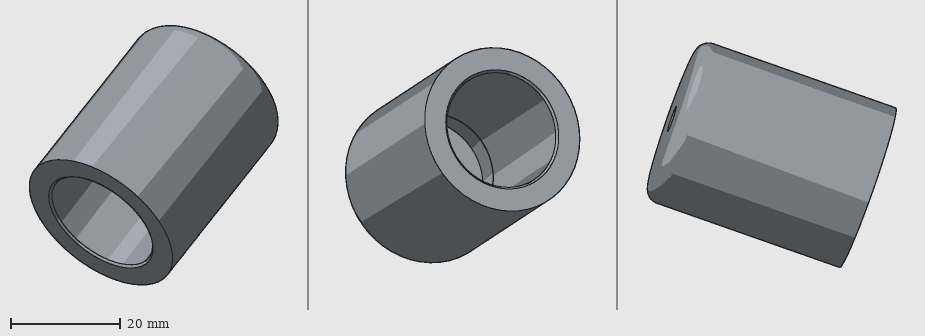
import cadquery as cq

length = 38.1
outer_diameter = 31.05
end_radius = 2.55

bore_diameter = 21.8
floor_diameter = 21.65
mouth_diameter = 22.65
vent_diameter = 4.75

end_thickness = (outer_diameter - bore_diameter) / 2
bore_depth = length - end_thickness
step_depth = bore_depth - end_thickness
chamfer_depth = (mouth_diameter - bore_diameter) / 2


def cylinder_along_y(diameter):
    """Full-length cylinder running from the mouth face towards +Y."""
    return cq.Workplane("XZ").circle(diameter / 2).extrude(-length)


body = cylinder_along_y(outer_diameter).faces(">Y").edges().fillet(end_radius)

bore = (
    cq.Workplane("XY")
    .moveTo(0, 0)
    .lineTo(-mouth_diameter / 2, 0)
    .lineTo(-bore_diameter / 2, chamfer_depth)
    .lineTo(-bore_diameter / 2, step_depth)
    .lineTo(-floor_diameter / 2, step_depth)
    .lineTo(-floor_diameter / 2, bore_depth)
    .lineTo(0, bore_depth)
    .close()
    .revolve(360, (0, 0, 0), (0, 1, 0))
)

vent = cylinder_along_y(vent_diameter)

result = body.cut(bore).cut(vent)